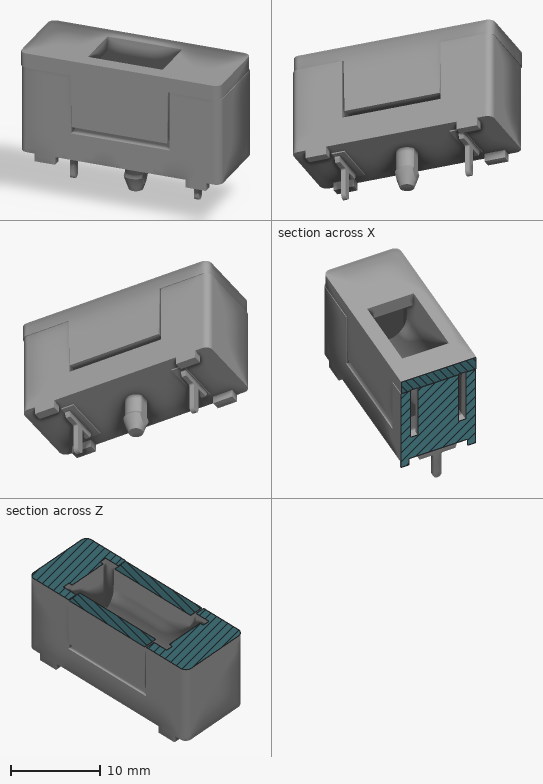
import cadquery as cq


BODY_LENGTH = 24.34
BODY_WIDTH = 9.4
CORNER_RADIUS = 0.83
BASE_HEIGHT = 10.5

NOTCH_LENGTH = 11.95
NOTCH_FLOOR = 3.3

POCKET_END = 7.95
POCKET_WIDTH = 6.83
STOP_RIB_THICKNESS = 0.5
STOP_RIB_WIDTH = 5.13

FOOT_INNER_X = 7.9
FOOT_LENGTH = 2.5
FOOT_WIDTH = 1.07
FOOT_HEIGHT = 0.95

SEAT_LENGTH = 1.55
SEAT_WIDTH = 6.05
SEAT_THICKNESS = 0.15
LEG_BOTTOM = -4.5
TERMINAL_X = 7.52
TERMINAL_THICKNESS = 0.55
SHOULDER_TOP_HALF_WIDTH = 2.35
SHOULDER_HALF_WIDTH = 2.42
SHOULDER_BOTTOM_HALF_WIDTH = 2.22
SHOULDER_UPPER_Z = -0.3
SHOULDER_LOWER_Z = -0.45
SHOULDER_BOTTOM = -0.88
PIN_HALF_WIDTH = 0.51
PIN_FILLET = 0.2

POST_RADIUS = 1.25
POST_FLAT_WIDTH = 2.17
BARB_RADIUS = 1.46
BARB_START = -2.35
BARB_PEAK = -2.7
POST_TIP_RADIUS = 0.83

COVER_SHIFT_X = -0.07
COVER_SHIFT_Y = -0.07
LID_THICKNESS = 1.78
BLOCK_TOP_LENGTH = 11.8
BLOCK_BOTTOM_LENGTH = 11.55
BLOCK_BOTTOM = 4.13
WINDOW_LENGTH = 9.05
CHANNEL_TOP_WIDTH = 5.8
TROUGH_RADIUS = 2.69
TROUGH_AXIS_Z = 7.71

SIDES = (-1, 1)


def rounded_slab(height):
    """The common rounded rectangle, raised from Z = 0."""
    slab = cq.Workplane("XY").box(BODY_LENGTH, BODY_WIDTH, height, centered=(True, True, False))
    return slab.edges("|Z").fillet(CORNER_RADIUS)


def box_between(x_a, x_b, width, z_bottom, z_top, y_centre=0):
    """A box between two X positions, centred on y_centre."""
    box = cq.Workplane("XY").box(abs(x_b - x_a), width, z_top - z_bottom)
    return box.translate(((x_a + x_b) / 2, y_centre, (z_bottom + z_top) / 2))


def make_pocket(side):
    """Pocket beside the notch, with a stop rib standing off its end wall."""
    notch_end = side * NOTCH_LENGTH / 2
    pocket_end = side * POCKET_END
    rib_face = side * (POCKET_END - STOP_RIB_THICKNESS)
    pocket = box_between(notch_end, pocket_end, POCKET_WIDTH, NOTCH_FLOOR, BASE_HEIGHT)
    rib = box_between(rib_face, pocket_end, STOP_RIB_WIDTH, NOTCH_FLOOR, BASE_HEIGHT)
    return pocket.cut(rib)


def make_terminal(side):
    """Flat terminal: a wide shoulder that narrows to a round-ended pin."""
    pin_round_z = LEG_BOTTOM + PIN_HALF_WIDTH
    profile = (
        cq.Workplane("YZ")
        .moveTo(-SHOULDER_TOP_HALF_WIDTH, -SEAT_THICKNESS)
        .lineTo(-SHOULDER_HALF_WIDTH, SHOULDER_UPPER_Z)
        .lineTo(-SHOULDER_HALF_WIDTH, SHOULDER_LOWER_Z)
        .lineTo(-SHOULDER_BOTTOM_HALF_WIDTH, SHOULDER_BOTTOM)
        .lineTo(-PIN_HALF_WIDTH - PIN_FILLET, SHOULDER_BOTTOM)
        .radiusArc((-PIN_HALF_WIDTH, SHOULDER_BOTTOM - PIN_FILLET), PIN_FILLET)
        .lineTo(-PIN_HALF_WIDTH, pin_round_z)
        .threePointArc((0, LEG_BOTTOM), (PIN_HALF_WIDTH, pin_round_z))
        .lineTo(PIN_HALF_WIDTH, SHOULDER_BOTTOM - PIN_FILLET)
        .radiusArc((PIN_HALF_WIDTH + PIN_FILLET, SHOULDER_BOTTOM), PIN_FILLET)
        .lineTo(SHOULDER_BOTTOM_HALF_WIDTH, SHOULDER_BOTTOM)
        .lineTo(SHOULDER_HALF_WIDTH, SHOULDER_LOWER_Z)
        .lineTo(SHOULDER_HALF_WIDTH, SHOULDER_UPPER_Z)
        .lineTo(SHOULDER_TOP_HALF_WIDTH, -SEAT_THICKNESS)
        .close()
    )
    terminal = profile.extrude(TERMINAL_THICKNESS / 2, both=True)
    return terminal.translate((side * TERMINAL_X, 0, 0))


def make_post():
    """Round post with a conical barb, cut flat on its two X sides."""
    post = (
        cq.Workplane("XZ")
        .polyline([
            (0, 0),
            (POST_RADIUS, 0),
            (POST_RADIUS, BARB_START),
            (BARB_RADIUS, BARB_PEAK),
            (POST_TIP_RADIUS, LEG_BOTTOM),
            (0, LEG_BOTTOM),
        ])
        .close()
        .revolve(360, (0, 0, 0), (0, 1, 0))
    )
    half_flat = POST_FLAT_WIDTH / 2
    return post.intersect(box_between(-half_flat, half_flat, 2 * BARB_RADIUS, LEG_BOTTOM, 0))


def make_base():
    """Base with notch, end pockets, feet, terminals and post."""
    half_notch = NOTCH_LENGTH / 2
    foot_y = (BODY_WIDTH - FOOT_WIDTH) / 2
    base = rounded_slab(BASE_HEIGHT)
    base = base.cut(box_between(-half_notch, half_notch, BODY_WIDTH, NOTCH_FLOOR, BASE_HEIGHT))
    for side in SIDES:
        inner_x = side * FOOT_INNER_X
        foot_outer_x = side * (FOOT_INNER_X + FOOT_LENGTH)
        seat_inner_x = side * (FOOT_INNER_X - SEAT_LENGTH)
        base = base.cut(make_pocket(side))
        for y_side in SIDES:
            foot = box_between(inner_x, foot_outer_x, FOOT_WIDTH, -FOOT_HEIGHT, 0, y_side * foot_y)
            base = base.union(foot)
        base = base.union(box_between(inner_x, seat_inner_x, SEAT_WIDTH, -SEAT_THICKNESS, 0))
        base = base.union(make_terminal(side))
    return base.union(make_post())


def make_cover_block():
    """Block under the lid, tapered in length towards its lower end."""
    half_top = BLOCK_TOP_LENGTH / 2
    half_bottom = BLOCK_BOTTOM_LENGTH / 2
    return (
        cq.Workplane("XZ")
        .polyline([
            (-half_top, BASE_HEIGHT),
            (half_top, BASE_HEIGHT),
            (half_bottom, BLOCK_BOTTOM),
            (-half_bottom, BLOCK_BOTTOM),
        ])
        .close()
        .extrude(BODY_WIDTH / 2, both=True)
    )


def make_fuse_channel():
    """Cutter with a round trough and drafted walls that rise to the top of the lid.

    It is as long as the block up to the lid, and as long as the window through it.
    """
    cover_top = BASE_HEIGHT + LID_THICKNESS
    half_top = CHANNEL_TOP_WIDTH / 2
    channel = (
        cq.Workplane("YZ")
        .moveTo(-half_top, cover_top)
        .lineTo(-TROUGH_RADIUS, TROUGH_AXIS_Z)
        .threePointArc((0, TROUGH_AXIS_Z - TROUGH_RADIUS), (TROUGH_RADIUS, TROUGH_AXIS_Z))
        .lineTo(half_top, cover_top)
        .close()
        .extrude(BLOCK_TOP_LENGTH / 2, both=True)
    )
    for side in SIDES:
        window_end = side * WINDOW_LENGTH / 2
        block_end = side * BLOCK_TOP_LENGTH / 2
        channel = channel.cut(box_between(window_end, block_end, BODY_WIDTH, BASE_HEIGHT, cover_top))
    return channel


def make_cover():
    """Lid with the fuse-carrying block, sitting slightly off the centre of the base."""
    lid = rounded_slab(LID_THICKNESS).translate((0, 0, BASE_HEIGHT))
    cover = lid.union(make_cover_block()).cut(make_fuse_channel())
    return cover.translate((COVER_SHIFT_X, COVER_SHIFT_Y, 0))


base = make_base()
cover = make_cover()

result = cq.Compound.makeCompound([base.val(), cover.val()])